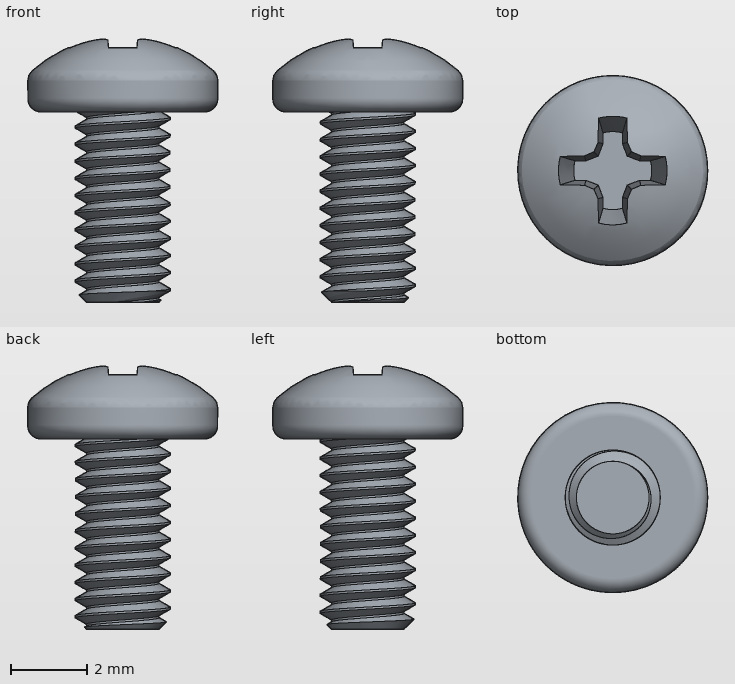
import cadquery as cq
import math


shank_length = 5.0
major_diameter = 2.5
major_radius = major_diameter / 2
minor_radius = 0.955
pitch = 0.45
crest_flat = pitch / 8
flank_angle = 30.0
first_crest_height = -0.57
ridge_overlap = 0.035
envelope_clearance = 0.07

head_radius = major_diameter
dome_radius = 3.59
apex_height = 7.0
rim_fillet = 0.35

recess_floor = 5.2
floor_half_width = 0.255
floor_shoulder = 0.71
floor_corner = 0.38
top_half_width = 0.395
top_shoulder = 0.74
top_corner = 0.5
floor_reach = 1.025
end_draft = 15.0
arm_overrun = 2.08


def make_head():
    """Domed disc, rounded where the side meets the dome and the underside."""
    dome_center = apex_height - dome_radius
    dome_edge = dome_center + math.sqrt(dome_radius**2 - head_radius**2)
    middle_radius = head_radius / 2
    dome_middle = dome_center + math.sqrt(dome_radius**2 - middle_radius**2)
    profile = (
        cq.Workplane("XZ")
        .moveTo(0, shank_length)
        .lineTo(head_radius, shank_length)
        .lineTo(head_radius, dome_edge)
        .threePointArc((middle_radius, dome_middle), (0, apex_height))
        .close()
    )
    head = profile.revolve(360, (0, 0, 0), (0, 1, 0))
    side_edges = cq.selectors.RadiusNthSelector(0)
    return head.edges("%CIRCLE").edges(side_edges).fillet(rim_fillet)


def cross_outline(half_width, shoulder, corner):
    """Points of a four-armed cross with bevelled inner corners."""
    quarter = [
        (arm_overrun, -half_width),
        (arm_overrun, half_width),
        (shoulder, half_width),
        (corner, corner),
        (half_width, shoulder),
    ]
    points = []
    for turn in range(4):
        cosine = round(math.cos(turn * math.pi / 2))
        sine = round(math.sin(turn * math.pi / 2))
        points += [(x * cosine - y * sine, x * sine + y * cosine) for x, y in quarter]
    return points


def make_recess():
    """Tapered cross whose arm ends lie on a cone about the screw axis."""
    depth = apex_height - recess_floor
    cross = (
        cq.Workplane("XY", origin=(0, 0, recess_floor))
        .polyline(cross_outline(floor_half_width, floor_shoulder, floor_corner))
        .close()
        .workplane(offset=depth)
        .polyline(cross_outline(top_half_width, top_shoulder, top_corner))
        .close()
        .loft(ruled=True)
    )
    end_cone = (
        cq.Workplane("XY", origin=(0, 0, recess_floor))
        .circle(floor_reach)
        .extrude(depth, taper=-end_draft)
    )
    return cross.intersect(end_cone)


def make_shank():
    """Threaded shank with a 45 degree chamfer down to the core at its tip."""
    root_radius = minor_radius - ridge_overlap
    half_crest = crest_flat / 2
    half_root = half_crest + (major_radius - root_radius) * math.tan(math.radians(flank_angle))
    ridge_length = shank_length - first_crest_height + pitch
    helix = cq.Wire.makeHelix(pitch, ridge_length, root_radius).translate(
        cq.Vector(0, 0, first_crest_height)
    )
    ridge = (
        cq.Workplane("XZ", origin=(0, 0, first_crest_height))
        .moveTo(root_radius, -half_root)
        .lineTo(major_radius, -half_crest)
        .lineTo(major_radius, half_crest)
        .lineTo(root_radius, half_root)
        .close()
        .sweep(cq.Workplane(helix), isFrenet=True)
    )
    envelope_radius = major_radius + envelope_clearance
    envelope = (
        cq.Workplane("XY")
        .circle(envelope_radius)
        .extrude(shank_length)
        .faces("<Z")
        .chamfer(envelope_radius - minor_radius)
    )
    core = cq.Workplane("XY").circle(minor_radius).extrude(shank_length)
    return core.union(ridge.intersect(envelope))


result = make_head().cut(make_recess()).union(make_shank())